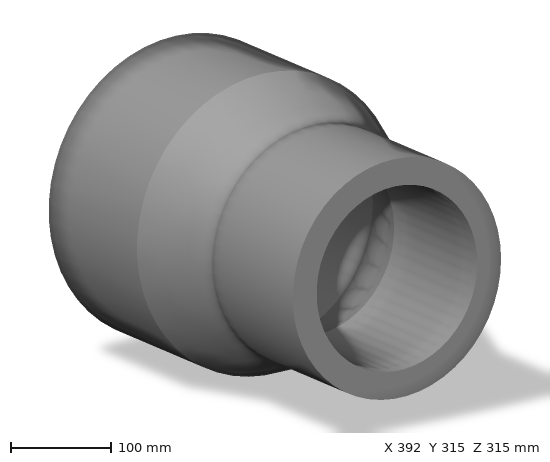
import cadquery as cq
import math

total_length = 392.0
wide_length = 159.5
narrow_length = 145.0
cone_length = total_length - wide_length - narrow_length

wide_outer_diameter = 315.0
wide_bore_diameter = 258.0
narrow_outer_diameter = 250.0
narrow_bore_diameter = 193.0

wall = (wide_outer_diameter - wide_bore_diameter) / 2
cone_angle = math.atan2((wide_outer_diameter - narrow_outer_diameter) / 2, cone_length)
bore_cone_start = wide_length - wall * math.tan(cone_angle / 2)


def stepped_body(wide_diameter, narrow_diameter, cone_start):
    """Wide cylinder, cone and narrow cylinder, revolved about X."""
    wide_radius = wide_diameter / 2
    narrow_radius = narrow_diameter / 2
    return (
        cq.Workplane("XY")
        .moveTo(0, 0)
        .lineTo(0, wide_radius)
        .lineTo(cone_start, wide_radius)
        .lineTo(cone_start + cone_length, narrow_radius)
        .lineTo(total_length, narrow_radius)
        .lineTo(total_length, 0)
        .close()
        .revolve(360, (0, 0, 0), (1, 0, 0))
    )


outer_body = stepped_body(wide_outer_diameter, narrow_outer_diameter, wide_length)
bore = stepped_body(wide_bore_diameter, narrow_bore_diameter, bore_cone_start)
result = outer_body.cut(bore)